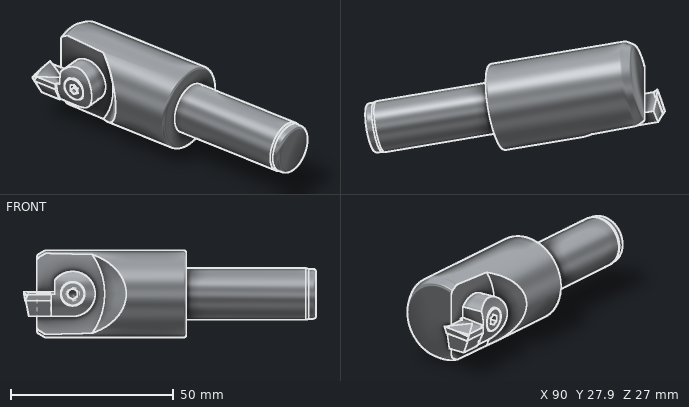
import cadquery as cq
import math

total_length = 90.0

head_start = 4.0
head_end = 50.1
head_radius = 13.5
nose_radius = 12.0
nose_angle = 30.0
nose_fillet = 1.35
head_rear_fillet = 0.9
shank_radius = 16.0 / 2
shank_end_radius = 15.5 / 2
shank_taper_start = 86.9
shank_taper_end = 87.7
shank_end_fillet = 1.0

seat_depth = 5.0
seat_angle = 3.0
runout_center = 4.05
runout_radius = 20.9
runout_angle = 45.0
runout_height = 13.5

boss_x = 15.0
boss_radius = 6.9
boss_face_radius = 13.1
boss_step_x = 9.5

screw_head_diameter = 7.0
screw_head_height = 4.0
screw_shank_diameter = 4.0
screw_shank_length = 10.0
screw_head_y = -13.05
head_bore_diameter = 7.5
shank_bore_diameter = 4.1
socket_flats = 3.0
socket_depth = 2.0
socket_point_depth = 0.9

block_inner_y = -6.0
block_outer_y = -13.9
block_side_end = 8.5
ledge_start = 8.2
block_top_z = 0.6
block_side_height = 1.9
block_bottom_y = -11.6
rake_angle = 6.0
front_relief = 11.0

insert_inner_y = -5.2
insert_side = 9.45
insert_thickness = 2.2
insert_top_z = 0.7
corner_facet_length = 4.7
corner_facet_width = 1.0
corner_facet_drop = 0.4


def seat_plane():
    """Plane of the inclined seat; its normal points out of the holder."""
    angle = math.radians(seat_angle)
    return cq.Plane(
        origin=(head_start, -seat_depth, 0),
        xDir=(math.cos(angle), -math.sin(angle), 0),
        normal=(-math.sin(angle), -math.cos(angle), 0),
    )


def make_bar():
    nose_length = (head_radius - nose_radius) / math.tan(math.radians(nose_angle))
    head = (
        cq.Workplane("XY")
        .moveTo(head_start, 0)
        .lineTo(head_start, nose_radius)
        .lineTo(head_start + nose_length, head_radius)
        .lineTo(head_end, head_radius)
        .lineTo(head_end, 0)
        .close()
        .revolve(360, (0, 0, 0), (1, 0, 0))
    )
    head = head.faces(">X").edges().fillet(head_rear_fillet)
    head = head.faces("<X or (%CONE)").edges("%CIRCLE").fillet(nose_fillet)
    shank = (
        cq.Workplane("XY")
        .moveTo(head_end, 0)
        .lineTo(head_end, shank_radius)
        .lineTo(shank_taper_start, shank_radius)
        .lineTo(shank_taper_end, shank_end_radius)
        .lineTo(total_length, shank_end_radius)
        .lineTo(total_length, 0)
        .close()
        .revolve(360, (0, 0, 0), (1, 0, 0))
        .faces(">X")
        .edges()
        .fillet(shank_end_fillet)
    )
    top_radius = runout_radius + runout_height * math.tan(math.radians(runout_angle))
    runout = cq.Solid.makeCone(
        runout_radius,
        top_radius,
        runout_height,
        pnt=seat_plane().toWorldCoords((runout_center - head_start, 0, 0)),
        dir=seat_plane().zDir,
    )
    return head.union(shank).cut(cq.Workplane(obj=runout))


def sloped_block(start_x, end_x, inner_y):
    """Block whose top falls outwards and whose lower side leans inwards."""
    slope = math.tan(math.radians(rake_angle))
    inner_z = block_top_z + (inner_y - block_inner_y) * slope
    outer_z = block_top_z + (block_outer_y - block_inner_y) * slope
    return (
        cq.Workplane("YZ", origin=(start_x, 0, 0))
        .polyline([
            (inner_y, inner_z),
            (block_outer_y, outer_z),
            (block_outer_y, outer_z - block_side_height),
            (block_bottom_y, -boss_radius),
            (inner_y, -boss_radius),
        ])
        .close()
        .extrude(end_x - start_x)
    )


def make_front_wedge():
    """Material in front of the relieved front face of the block."""
    relief = (insert_top_z + boss_radius) * math.tan(math.radians(front_relief))
    return (
        cq.Workplane("XZ")
        .polyline([(0, insert_top_z), (relief, -boss_radius), (0, -boss_radius)])
        .close()
        .extrude(2 * head_radius)
    )


def make_insert():
    """Triangular insert, tilted about its inner front corner."""
    insert_depth = insert_side * math.sqrt(3) / 2
    outer_y = insert_inner_y - insert_side
    insert = (
        cq.Workplane("XY")
        .polyline([(0, insert_inner_y), (0, outer_y), (insert_depth, insert_inner_y - insert_side / 2)])
        .close()
        .extrude(-insert_thickness, taper=front_relief)
    )
    facet_y = outer_y + corner_facet_length
    side_point = (corner_facet_width, outer_y + corner_facet_width / math.sqrt(3), 0)
    facet_points = [
        cq.Vector(0, facet_y, 0),
        cq.Vector(*side_point),
        cq.Vector(0, outer_y, 0),
        cq.Vector(0, outer_y, -corner_facet_drop),
    ]
    insert = insert.cut(cq.Workplane(obj=make_tetrahedron(facet_points)))
    return insert.translate((0, 0, insert_top_z)).rotate(
        (0, insert_inner_y, insert_top_z), (1, insert_inner_y, insert_top_z), rake_angle
    )


def make_tetrahedron(points):
    faces = []
    for skipped in points:
        corners = [point for point in points if point is not skipped]
        faces.append(cq.Face.makeFromWires(cq.Wire.makePolygon(corners, close=True)))
    return cq.Solid.makeSolid(cq.Shell.makeShell(faces))


def make_boss():
    boss = cq.Workplane("XZ").center(boss_x, 0).circle(boss_radius).extrude(head_radius)
    foot = (
        cq.Workplane("XZ")
        .moveTo(block_side_end, -boss_radius)
        .lineTo(boss_x, -boss_radius)
        .lineTo(boss_x, 0)
        .lineTo(block_side_end, 0)
        .close()
        .extrude(head_radius)
    )
    step = cq.Workplane("XY").box(
        boss_step_x, 2 * head_radius, 2 * boss_radius, centered=(False, True, True)
    )
    face_cylinder = cq.Workplane("YZ").circle(boss_face_radius).extrude(head_end)
    ledge = sloped_block(ledge_start, boss_step_x, 0)
    return boss.cut(step).union(foot.cut(step)).union(ledge).intersect(face_cylinder)


def make_tool_mount():
    block = sloped_block(0, block_side_end, block_inner_y).cut(make_front_wedge())
    above_seat = cq.Workplane(seat_plane()).rect(2 * head_end, 4 * head_radius).extrude(2 * head_radius)
    boss = make_boss().intersect(above_seat)
    return boss.union(block).union(make_insert())


def stepped_pin(start_y, head_diameter, shank_diameter):
    """Round head and shank on the boss axis, entering the holder from -Y."""
    head_bottom_y = screw_head_y + screw_head_height
    head = (
        cq.Workplane("XZ", origin=(boss_x, start_y, 0))
        .circle(head_diameter / 2)
        .extrude(start_y - head_bottom_y)
    )
    shank = (
        cq.Workplane("XZ", origin=(boss_x, head_bottom_y, 0))
        .circle(shank_diameter / 2)
        .extrude(-screw_shank_length)
    )
    return head.union(shank)


def make_screw():
    socket_end = screw_head_y + socket_depth
    socket = (
        cq.Workplane("XZ", origin=(boss_x, screw_head_y, 0))
        .polygon(6, socket_flats, circumscribed=True)
        .extrude(-socket_depth)
    )
    point = cq.Solid.makeCone(
        socket_flats / 2, 0, socket_point_depth, pnt=cq.Vector(boss_x, socket_end, 0), dir=cq.Vector(0, 1, 0)
    )
    screw = stepped_pin(screw_head_y, screw_head_diameter, screw_shank_diameter)
    return screw.cut(socket).cut(cq.Workplane(obj=point))


def make_holder():
    screw_hole = stepped_pin(-head_radius, head_bore_diameter, shank_bore_diameter)
    return make_bar().union(make_tool_mount()).cut(screw_hole)


holder = make_holder()
screw = make_screw()

result = cq.Compound.makeCompound([holder.solids().val(), screw.solids().val()])